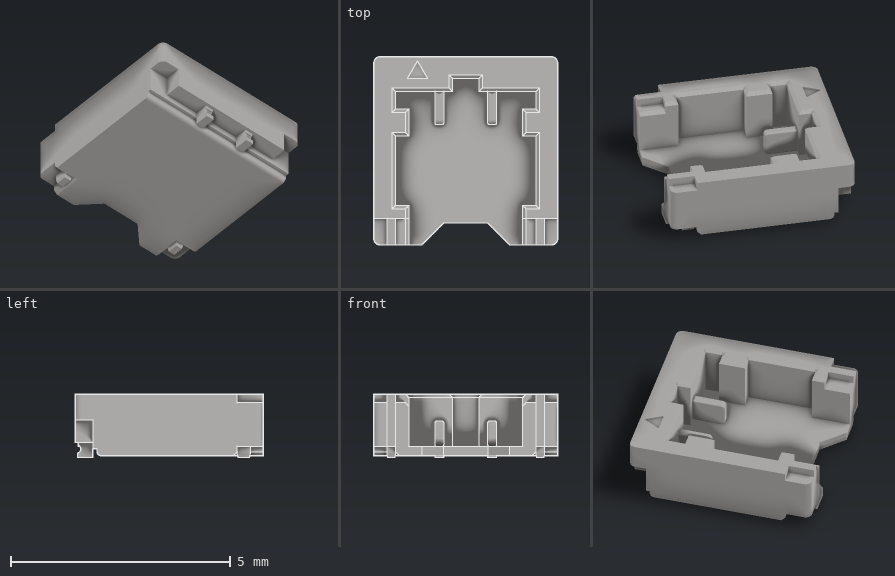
import cadquery as cq

WIDTH = 4.2
LENGTH = 4.3
HEIGHT = 1.41
STANDOFF = 0.04
CORNER_RADIUS = 0.15

FLOOR = 0.215
CAVITY_HALF = 1.605
THROAT_HALF = 1.3
CAVITY_BACK = 1.355
KEY_HALF = 0.3
KEY_BACK = 1.65
RIB_BACK = 0.95
RIB_FRONT = 0.34
FRONT_RIB_BACK = -1.245
LEAD_IN = 0.077

NOTCH_HALF = 1.0
NOTCH_DEPTH = 0.5

STEP_LENGTH = 0.6
STEP_DROP = 0.198
RELIEF_CHAMFER = 0.085

REAR_LEDGE_DEPTH = 0.41
REAR_LEDGE_Z = 0.815
REAR_BLOCK_Z = 0.3
BASE_PAD_BACK = 1.65
BASE_PAD_HEIGHT = 0.16
BASE_PAD_RADIUS = 0.108

MARK_X = -1.1
MARK_BASE_Y = 1.655
MARK_WIDTH = 0.455
MARK_HEIGHT = 0.395
MARK_DEPTH = 0.05

SHEET = 0.2
CONTACT_X = 0.6
BLADE_TIP = 0.598
BLADE_TOP = 0.79
BLADE_TIP_RADIUS = 0.095
BLADE_EDGE_RADIUS = 0.04
TAIL_BACK = 2.075
FOOT_BACK = 2.1
GROOVE_TOP = 0.245
GROOVE_BOTTOM = 0.07
GROOVE_DEPTH = 0.055

NAIL_X = 1.7
NAIL_FOOT_LENGTH = 0.3
NAIL_TAPER_Z = 0.055
NAIL_TAPER = 0.017

FRONT = -LENGTH / 2
BACK = LENGTH / 2
STEP_Y = FRONT + STEP_LENGTH
STEP_Z = HEIGHT - STEP_DROP
REAR_WALL = BACK - REAR_LEDGE_DEPTH
RELIEF_INNER = NAIL_X - SHEET / 2
SIDES = (-1, 1)


def box(x_range, y_range, z_range):
    """Box between two limits along each axis."""
    size = [limits[1] - limits[0] for limits in (x_range, y_range, z_range)]
    corner = (x_range[0], y_range[0], z_range[0])
    return cq.Workplane("XY").box(*size, centered=False).translate(corner)


def level_loop(points, z):
    """Closed wire through (x, y) points at height z."""
    return cq.Wire.makePolygon([cq.Vector(x, y, z) for x, y in points], close=True)


def cavity_outline(growth):
    """Cavity outline with every wall moved outwards by growth; it runs out through the front."""
    wall = CAVITY_HALF + growth
    throat = THROAT_HALF + growth
    key = KEY_HALF + growth
    right_side = [
        (throat, FRONT - LEAD_IN),
        (throat, FRONT_RIB_BACK - growth),
        (wall, FRONT_RIB_BACK - growth),
        (wall, RIB_FRONT + growth),
        (throat, RIB_FRONT + growth),
        (throat, RIB_BACK - growth),
        (wall, RIB_BACK - growth),
        (wall, CAVITY_BACK + growth),
        (key, CAVITY_BACK + growth),
        (key, KEY_BACK + growth),
    ]
    left_side = [(-x, y) for x, y in reversed(right_side)]
    return right_side + left_side


def cavity():
    """Straight pocket down to the floor with a chamfered mouth."""
    pocket = (
        cq.Workplane("XY", origin=(0, 0, FLOOR))
        .polyline(cavity_outline(0)).close()
        .extrude(HEIGHT - FLOOR)
    )
    lower = level_loop(cavity_outline(0), HEIGHT - LEAD_IN)
    upper = level_loop(cavity_outline(LEAD_IN), HEIGHT)
    mouth = cq.Solid.makeLoft([lower, upper], True)
    return pocket.union(cq.Workplane(obj=mouth))


def floor_notch():
    """Trapezoid cut through the floor at the front edge."""
    tip_half = NOTCH_HALF - NOTCH_DEPTH
    outline = [
        (-NOTCH_HALF, FRONT),
        (-tip_half, FRONT + NOTCH_DEPTH),
        (tip_half, FRONT + NOTCH_DEPTH),
        (NOTCH_HALF, FRONT),
    ]
    return cq.Workplane("XY").polyline(outline).close().extrude(FLOOR)


def wall_end_step():
    """Lowered front ends of the side walls, with the cavity chamfer repeated along them."""
    step = box((-WIDTH / 2, WIDTH / 2), (FRONT, STEP_Y), (STEP_Z, HEIGHT))
    lead_in = (
        cq.Workplane("XZ", origin=(0, FRONT, 0))
        .polyline([
            (-THROAT_HALF, STEP_Z - LEAD_IN),
            (-THROAT_HALF - LEAD_IN, STEP_Z),
            (THROAT_HALF + LEAD_IN, STEP_Z),
            (THROAT_HALF, STEP_Z - LEAD_IN),
        ]).close()
        .extrude(-STEP_LENGTH)
    )
    return step.union(lead_in)


def corner_relief(side):
    """Open pocket under a front corner around the nail foot, chamfered at its bottom edges."""
    outer = side * WIDTH / 2
    x_range = sorted((side * RELIEF_INNER, outer))
    pocket = box(x_range, (FRONT, STEP_Y), (0, FLOOR))

    def relief_loop(z, growth):
        inner = side * (RELIEF_INNER - growth)
        rear = STEP_Y + growth
        corners = [(inner, FRONT), (outer, FRONT), (outer, rear), (inner, rear)]
        return level_loop(corners, z)

    chamfer = cq.Solid.makeLoft([relief_loop(0, RELIEF_CHAMFER), relief_loop(RELIEF_CHAMFER, 0)], True)
    return pocket.union(cq.Workplane(obj=chamfer))


def rear_undercut():
    """Space below the rear of the housing: corner ledges, room for the tails, end of the base pad."""
    all_x = (-WIDTH / 2, WIDTH / 2)
    undercut = box(all_x, (REAR_WALL, BACK), (0, REAR_BLOCK_Z))
    for side in SIDES:
        corner_x = sorted((side * CAVITY_HALF, side * WIDTH / 2))
        undercut = undercut.union(box(corner_x, (REAR_WALL, BACK), (0, REAR_LEDGE_Z)))
    pad_end = (
        cq.Workplane("YZ", origin=(-WIDTH / 2, 0, 0))
        .moveTo(BASE_PAD_BACK - BASE_PAD_RADIUS, 0)
        .radiusArc((BASE_PAD_BACK, BASE_PAD_RADIUS), -BASE_PAD_RADIUS)
        .lineTo(BASE_PAD_BACK, BASE_PAD_HEIGHT)
        .lineTo(REAR_WALL, BASE_PAD_HEIGHT)
        .lineTo(REAR_WALL, 0)
        .close()
        .extrude(WIDTH)
    )
    return undercut.union(pad_end)


def pin_one_mark():
    """Sunken triangle on the top face beside the first contact."""
    return (
        cq.Workplane("XY", origin=(MARK_X, MARK_BASE_Y, HEIGHT - MARK_DEPTH))
        .polyline([(-MARK_WIDTH / 2, 0), (MARK_WIDTH / 2, 0), (0, MARK_HEIGHT)]).close()
        .extrude(MARK_DEPTH)
    )


def make_contact(x):
    """Flat contact: rounded blade through the back wall, tail and grooved solder foot behind it."""
    blade = (
        box((x - SHEET / 2, x + SHEET / 2), (BLADE_TIP, TAIL_BACK), (FLOOR, BLADE_TOP))
        .edges("|X and <Y").fillet(BLADE_TIP_RADIUS)
        .faces("<X or >X").edges("not >Y").fillet(BLADE_EDGE_RADIUS)
    )
    groove_middle = (GROOVE_TOP + GROOVE_BOTTOM) / 2
    tail = (
        cq.Workplane("YZ", origin=(x - SHEET / 2, 0, 0))
        .moveTo(REAR_WALL, BLADE_TOP)
        .lineTo(TAIL_BACK, BLADE_TOP)
        .lineTo(TAIL_BACK, GROOVE_TOP)
        .threePointArc((TAIL_BACK - GROOVE_DEPTH, groove_middle), (TAIL_BACK, GROOVE_BOTTOM))
        .lineTo(FOOT_BACK, GROOVE_BOTTOM)
        .lineTo(FOOT_BACK, -STANDOFF)
        .lineTo(REAR_WALL, -STANDOFF)
        .close()
        .extrude(SHEET)
    )
    return blade.union(tail)


def make_nail(side):
    """Upright plate in the front end of a side wall, with a tapered foot below it."""
    x_range = (side * NAIL_X - SHEET / 2, side * NAIL_X + SHEET / 2)
    foot_front = STEP_Y - NAIL_FOOT_LENGTH
    plate = box(x_range, (FRONT, STEP_Y), (FLOOR, HEIGHT))
    foot = box(x_range, (foot_front, STEP_Y), (NAIL_TAPER_Z, FLOOR))
    foot_end = (
        cq.Workplane("XY", origin=(side * NAIL_X, (foot_front + STEP_Y) / 2, NAIL_TAPER_Z))
        .rect(SHEET, NAIL_FOOT_LENGTH)
        .workplane(offset=-NAIL_TAPER_Z - STANDOFF)
        .rect(SHEET - 2 * NAIL_TAPER, NAIL_FOOT_LENGTH - 2 * NAIL_TAPER)
        .loft()
    )
    return plate.union(foot).union(foot_end)


contacts = [make_contact(side * CONTACT_X) for side in SIDES]
nails = [make_nail(side) for side in SIDES]

housing = (
    cq.Workplane("XY")
    .box(WIDTH, LENGTH, HEIGHT, centered=(True, True, False))
    .edges("|Z").fillet(CORNER_RADIUS)
    .cut(cavity())
    .cut(floor_notch())
    .cut(wall_end_step())
    .cut(rear_undercut())
    .cut(pin_one_mark())
)
for side in SIDES:
    housing = housing.cut(corner_relief(side))
for insert in contacts + nails:
    housing = housing.cut(insert)

result = cq.Compound.makeCompound(
    [housing.val()]
    + [contact.val() for contact in contacts]
    + [nail.val() for nail in nails]
)